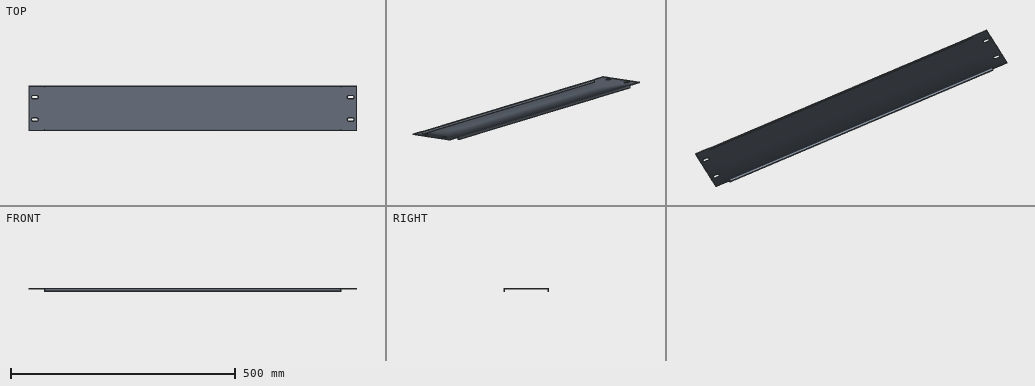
import cadquery as cq

length = 730.0
width = 99.0
height = 6.5

sheet = 1.0
outer_bend_radius = 2.0
inner_bend_radius = outer_bend_radius - sheet
flange_length = 660.0

slot_length = 15.0
slot_width = 7.0
slot_spacing_x = 703.0
slot_spacing_y = 50.0


def folded_channel():
    """Downward-open channel with rounded bends, centred on X and Y, top face at Z = 0."""
    outer = (
        cq.Workplane("XY")
        .box(flange_length, width, height, centered=(True, True, False))
        .translate((0, 0, -height))
        .edges("|X and >Z")
        .fillet(outer_bend_radius)
    )
    inner_height = height - sheet
    inner = (
        cq.Workplane("XY")
        .box(flange_length, width - 2 * sheet, inner_height, centered=(True, True, False))
        .translate((0, 0, -height))
        .edges("|X and >Z")
        .fillet(inner_bend_radius)
    )
    return outer.cut(inner)


def end_ear(side):
    """Flat full-width ear beyond one end of the flanges; side is -1 or +1 along X."""
    ear_length = (length - flange_length) / 2
    ear_center = side * (length - ear_length) / 2
    return (
        cq.Workplane("XY")
        .box(ear_length, width, sheet)
        .translate((ear_center, 0, -sheet / 2))
    )


def mounting_slots():
    """Four round-ended cutters, lengthwise along X."""
    return (
        cq.Workplane("XY")
        .rarray(slot_spacing_x, slot_spacing_y, 2, 2)
        .slot2D(slot_length, slot_width)
        .extrude(-sheet)
    )


panel = folded_channel()
for side in (-1, 1):
    panel = panel.union(end_ear(side))

result = panel.cut(mounting_slots())